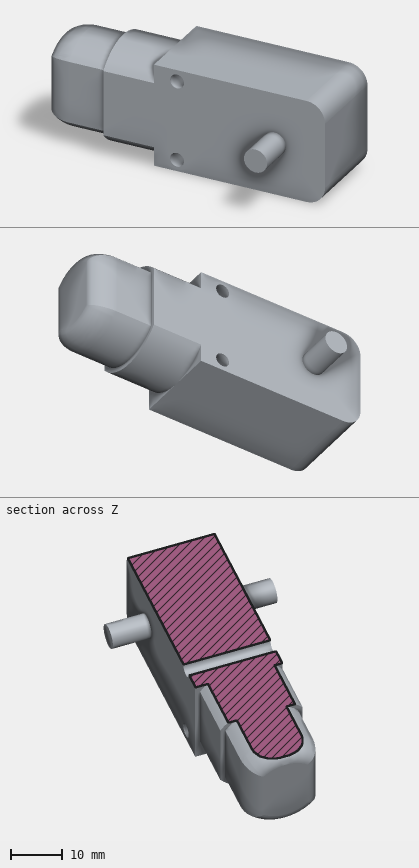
import cadquery as cq


total_length = 61.0
housing_start = 24.0
housing_width = 18.0
housing_height = 22.0
end_corner_radius = 4.0

mount_hole_diameter = 3.0
mount_hole_x = 29.0
mount_hole_z = 8.55

collar_start = 13.0
collar_width = 17.0
collar_radius = housing_height / 2
motor_width = 15.0
motor_radius = 10.0
motor_axis_y = (collar_width - housing_width) / 2

dome_length = 5.0
dome_inset = 3.0

shaft_diameter = 5.0
shaft_length = 34.0
shaft_x = 50.0


def flattened_cylinder(start, end, radius, width):
    """Cylinder along X, cut to a given width by two flats facing -Y and +Y."""
    length = end - start
    cylinder = cq.Workplane("YZ", origin=(start, motor_axis_y, 0)).circle(radius).extrude(length)
    flats = cq.Workplane("XY").box(length, width, 2 * radius).translate(
        (start + length / 2, motor_axis_y, 0)
    )
    return cylinder.intersect(flats)


def cylinder_along_y(diameter, length, x, z):
    """Cylinder parallel to Y, centred on the XZ plane."""
    return cq.Workplane("XZ", origin=(x, 0, z)).circle(diameter / 2).extrude(length / 2, both=True)


def dome_profile(half_width):
    """Half outline of the motor end, from the axis out to half_width."""
    return (
        cq.Workplane("XY", origin=(0, motor_axis_y, 0))
        .lineTo(0, half_width - dome_inset)
        .ellipseArc(dome_length, dome_inset, 90, 180, sense=-1)
        .lineTo(dome_length, 0)
        .close()
    )


def make_dome():
    """Rounded end whose round and flat sides curve inward and meet in mitred edges."""
    revolved = dome_profile(motor_radius).revolve(360, (0, 0, 0), (1, 0, 0))
    half_slab = dome_profile(motor_width / 2).extrude(2 * motor_radius).translate((0, 0, -motor_radius))
    slab = half_slab.union(
        half_slab.translate((0, -motor_axis_y, 0)).mirror("XZ").translate((0, motor_axis_y, 0))
    )
    return revolved.intersect(slab)


def make_housing():
    """Gearbox with its collar and motor, mounting holes and shaft bore."""
    length = total_length - housing_start
    housing = (
        cq.Workplane("XY")
        .box(length, housing_width, housing_height)
        .translate((housing_start + length / 2, 0, 0))
        .edges("|Y and >X")
        .fillet(end_corner_radius)
    )
    housing = housing.union(
        flattened_cylinder(collar_start, housing_start, collar_radius, collar_width)
    )
    housing = housing.union(
        flattened_cylinder(dome_length, collar_start, motor_radius, motor_width)
    )
    housing = housing.union(make_dome())
    for z in (-mount_hole_z, mount_hole_z):
        housing = housing.cut(
            cylinder_along_y(mount_hole_diameter, housing_width, mount_hole_x, z)
        )
    return housing.cut(cylinder_along_y(shaft_diameter, housing_width, shaft_x, 0))


def make_shaft():
    """Output shaft passing through the housing and standing out on both sides."""
    return cylinder_along_y(shaft_diameter, shaft_length, shaft_x, 0)


housing = make_housing()
shaft = make_shaft()
result = cq.Compound.makeCompound([housing.val(), shaft.val()])